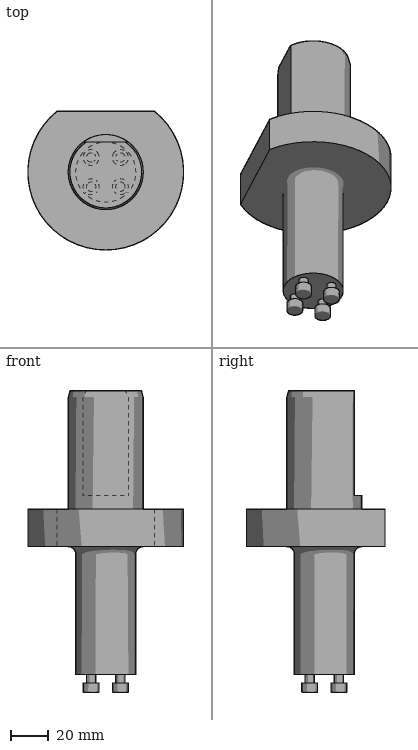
import cadquery as cq

flange_diameter = 83.0
flange_thickness = 20.0
flange_flat_y = 32.4

spigot_diameter = 40.0
spigot_length = 63.0
tip_taper_height = 3.5
tip_taper_inset = 0.94
spigot_flat_y = 16.0
flat_start_height = 7.3

shank_diameter = 32.0
shank_length = 68.0
shank_fillet_radius = 4.0

screw_count = 4
screw_circle_diameter = 22.0
first_screw_angle = 45.0
screw_stem_diameter = 5.0
screw_stem_length = 4.49
screw_head_diameter = 8.5
screw_head_height = 5.1
screw_head_round = 0.6

flange_top_z = flange_thickness
spigot_top_z = flange_top_z + spigot_length
shank_bottom_z = -shank_length


def cut_flat(body, flat_y, bottom_z, top_z):
    """Remove everything of the body beyond flat_y between two heights."""
    size = flange_diameter
    cutter = (
        cq.Workplane("XY", origin=(0, flat_y, bottom_z))
        .rect(size, 2 * size)
        .extrude(top_z - bottom_z)
        .translate((0, size, 0))
    )
    return body.cut(cutter)


def make_flange():
    disc = cq.Workplane("XY").circle(flange_diameter / 2).extrude(flange_thickness)
    return cut_flat(disc, flange_flat_y, 0, flange_top_z)


def make_spigot():
    """Round spigot with a tapered tip, flattened above a short round base."""
    radius = spigot_diameter / 2
    profile = (
        cq.Workplane("XZ")
        .moveTo(0, flange_top_z)
        .lineTo(radius, flange_top_z)
        .lineTo(radius, spigot_top_z - tip_taper_height)
        .lineTo(radius - tip_taper_inset, spigot_top_z)
        .lineTo(0, spigot_top_z)
        .close()
    )
    spigot = profile.revolve(360, (0, 0, 0), (0, 1, 0))
    return cut_flat(spigot, spigot_flat_y, flange_top_z + flat_start_height, spigot_top_z)


def make_shank():
    """Round shank that flares into the flange with a concave fillet."""
    radius = shank_diameter / 2
    profile = (
        cq.Workplane("XZ")
        .moveTo(0, 0)
        .lineTo(radius + shank_fillet_radius, 0)
        .radiusArc((radius, -shank_fillet_radius), -shank_fillet_radius)
        .lineTo(radius, shank_bottom_z)
        .lineTo(0, shank_bottom_z)
        .close()
    )
    return profile.revolve(360, (0, 0, 0), (0, 1, 0))


def make_screws():
    """Ring of screws: a thin stem, then a wider head with a rounded end."""
    head_top_z = shank_bottom_z - screw_stem_length

    def screw_centres(z):
        return cq.Workplane("XY", origin=(0, 0, z)).polarArray(
            screw_circle_diameter / 2, first_screw_angle, 360, screw_count
        )

    stems = screw_centres(shank_bottom_z).circle(screw_stem_diameter / 2).extrude(-screw_stem_length)
    heads = screw_centres(head_top_z).circle(screw_head_diameter / 2).extrude(-screw_head_height)
    heads = heads.faces("<Z").fillet(screw_head_round)
    return stems.union(heads)


result = make_flange().union(make_spigot()).union(make_shank()).union(make_screws())